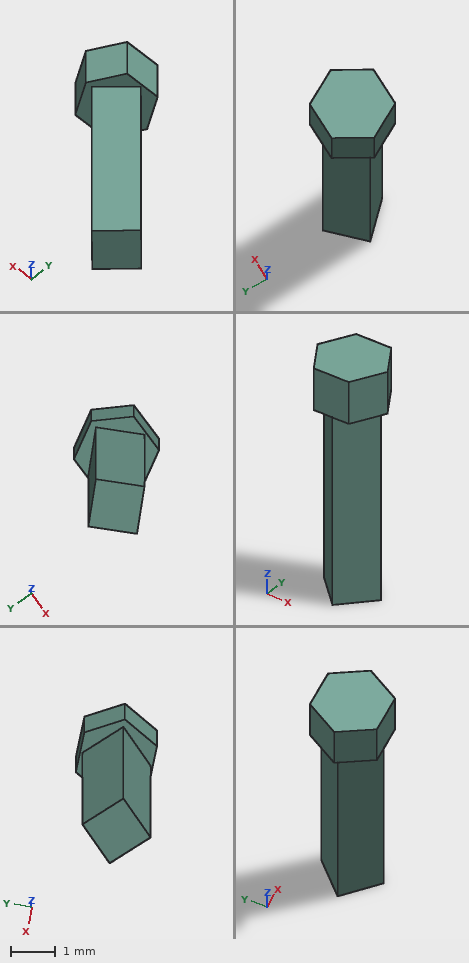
import cadquery as cq

total_height = 6.24
head_height = 1.13
head_corner_diameter = 1.91
shaft_corner_diameter = 1.555

shaft_length = total_height - head_height


def make_shaft():
    """Square bar standing on Z = 0, with its corners on the X and Y axes."""
    corner_radius = shaft_corner_diameter / 2
    corners = [(corner_radius, 0), (0, corner_radius), (-corner_radius, 0), (0, -corner_radius)]
    return cq.Workplane("XY").polyline(corners).close().extrude(shaft_length)


def make_head():
    """Hexagonal head resting on the shaft end, with two corners on the X axis."""
    return (
        cq.Workplane("XY")
        .workplane(offset=shaft_length)
        .polygon(6, head_corner_diameter)
        .extrude(head_height)
    )


shaft = make_shaft()
head = make_head()

result = cq.Compound.makeCompound([shaft.val(), head.val()])